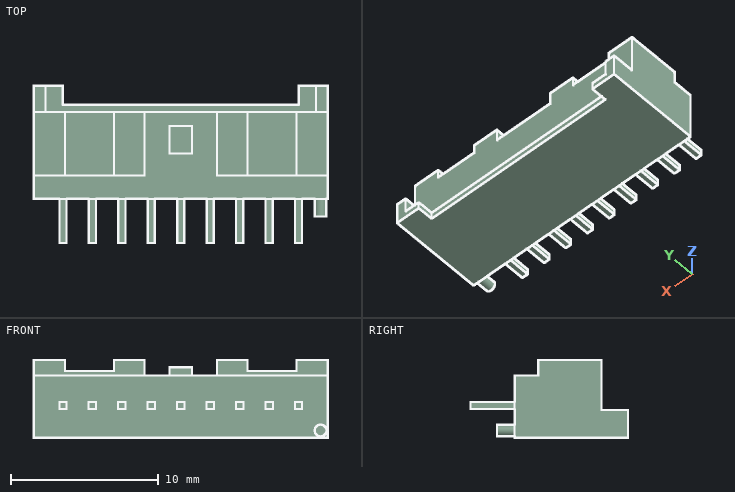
import cadquery as cq

width = 20.0
depth = 7.7
height = 5.3
deck_height = 4.25
body_depth = 5.9

side_wall_height = 1.9
side_wall_thickness = 0.8
floor_thickness = 0.6
floor_ledge = 0.5
ear_width = 2.0

pad_front_setback = 1.6
pad_length = 7.55
pad_recess_start = 2.15
pad_recess_width = 3.3
pad_recess_floor = 4.55

key_width = 1.55
key_front = 3.1
key_depth = 1.85
key_top = 4.8

pin_count = 9
pin_pitch = 2.0
pin_size = 0.5
pin_length = 3.0
pin_center_z = 2.2

peg_diameter = 0.8
peg_length = 1.2
peg_center_z = 0.5
peg_edge_distance = 0.5


def block(x_range, y_range, z_range):
    """Axis-aligned box given by its start and end along each axis."""
    return (
        cq.Workplane("XY")
        .box(
            x_range[1] - x_range[0],
            y_range[1] - y_range[0],
            z_range[1] - z_range[0],
            centered=False,
        )
        .translate((x_range[0], y_range[0], z_range[0]))
    )


def mirrored_pair(shape):
    """The shape together with its mirror image across X = 0."""
    return shape.union(shape.mirror("YZ"))


def make_body():
    half_width = width / 2
    return block((-half_width, half_width), (0, body_depth), (0, deck_height))


def make_rear_end():
    """Notched floor plate and the low side walls behind the body."""
    outer = -width / 2
    inner = outer + ear_width
    ledge = block((outer, -outer), (0, body_depth + floor_ledge), (0, floor_thickness))
    ear = block((outer, inner), (0, depth), (0, floor_thickness))
    wall = block((outer, outer + side_wall_thickness), (0, depth), (0, side_wall_height))
    return ledge.union(mirrored_pair(ear.union(wall)))


def make_pads():
    """Pad at each end of the deck, with a recess across its middle."""
    outer = -width / 2
    recess_start = outer + pad_recess_start
    recess_end = recess_start + pad_recess_width
    y_range = (pad_front_setback, body_depth)
    pad = block((outer, outer + pad_length), y_range, (0, height))
    recess = block((recess_start, recess_end), y_range, (pad_recess_floor, height))
    return mirrored_pair(pad.cut(recess))


def make_key():
    half_width = key_width / 2
    return block((-half_width, half_width), (key_front, key_front + key_depth), (0, key_top))


def make_pins():
    """Evenly spaced pins standing out of the front face."""
    return (
        cq.Workplane("XZ", origin=(0, 0, pin_center_z))
        .rarray(pin_pitch, 1, pin_count, 1)
        .rect(pin_size, pin_size)
        .extrude(pin_length)
    )


def make_peg():
    peg_x = width / 2 - peg_edge_distance
    return (
        cq.Workplane("XZ", origin=(peg_x, 0, peg_center_z))
        .circle(peg_diameter / 2)
        .extrude(peg_length)
    )


result = (
    make_body()
    .union(make_rear_end())
    .union(make_pads())
    .union(make_key())
    .union(make_pins())
    .union(make_peg())
)